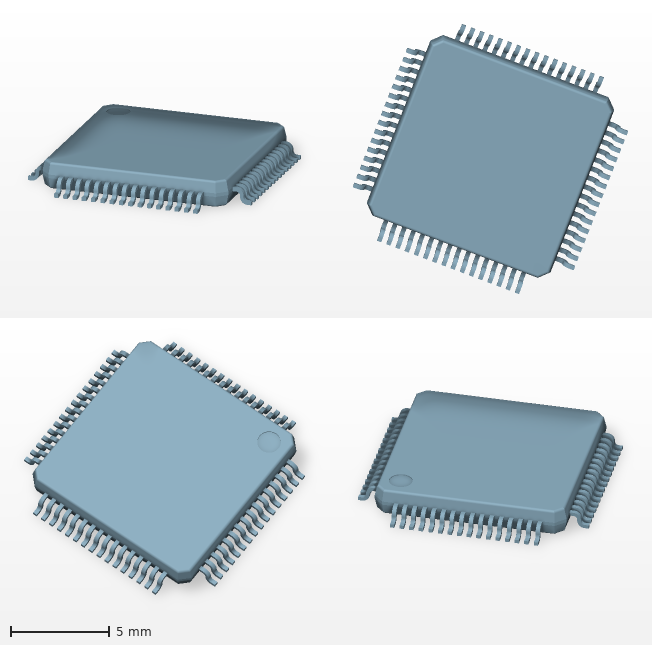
import cadquery as cq
import math

BODY_SIZE = 10.0
BODY_HEIGHT = 1.4
STANDOFF = 0.05
CORNER_CHAMFER = 0.5
DRAFT_ANGLE = 12.0
EDGE_RADIUS = 0.14

LEAD_SPAN = 12.02
LEADS_PER_SIDE = 16
LEAD_PITCH = 0.5
LEAD_WIDTH = 0.22
LEAD_THICKNESS = 0.19
LEAD_TOP = 0.84
FOOT_LENGTH = 0.21
BEND_INNER_RADIUS = 0.2
LEAD_EMBED = 0.3

MARK_DIAMETER = 1.2
MARK_OFFSET = 3.8
MARK_DEPTH = 0.05

BODY_TOP = STANDOFF + BODY_HEIGHT
BAND_TOP = LEAD_TOP
BAND_BOTTOM = LEAD_TOP - LEAD_THICKNESS
BEND_OUTER_RADIUS = BEND_INNER_RADIUS + LEAD_THICKNESS


def octagon_points():
    """Corner points of the square body outline with its four corners cut off."""
    half = BODY_SIZE / 2
    cut = half - CORNER_CHAMFER
    return [
        (half, -cut), (half, cut), (cut, half), (-cut, half),
        (-half, cut), (-half, -cut), (-cut, -half), (cut, -half),
    ]


def body_layer(start, end, draft=0.0):
    """Prism of the body outline between two heights, narrowing by the draft angle."""
    outline = cq.Workplane("XY", origin=(0, 0, start)).polyline(octagon_points()).close()
    return outline.extrude(end - start, taper=draft)


def make_body():
    """Moulded body: a vertical band with drafted, rounded halves above and below."""
    upper = body_layer(BAND_TOP, BODY_TOP, DRAFT_ANGLE)
    upper = upper.faces(">Z").edges().fillet(EDGE_RADIUS)
    lower = body_layer(BAND_BOTTOM, STANDOFF, DRAFT_ANGLE)
    lower = lower.faces("<Z").edges().fillet(EDGE_RADIUS)
    return body_layer(BAND_BOTTOM, BAND_TOP).union(upper).union(lower)


def make_lead():
    """Gull-wing lead on the +X side, centred on Y = 0."""
    tip = LEAD_SPAN / 2
    outer_wall = tip - FOOT_LENGTH - BEND_INNER_RADIUS
    inner_wall = outer_wall - LEAD_THICKNESS
    shoulder = outer_wall - BEND_OUTER_RADIUS
    foot_heel = tip - FOOT_LENGTH
    root = BODY_SIZE / 2 - LEAD_EMBED
    foot_bend_z = BEND_OUTER_RADIUS
    shoulder_bend_z = LEAD_TOP - BEND_OUTER_RADIUS
    diagonal = math.sqrt(0.5)
    inner_mid = BEND_INNER_RADIUS * diagonal
    outer_mid = BEND_OUTER_RADIUS * diagonal
    profile = (
        cq.Workplane("XZ")
        .moveTo(root, LEAD_TOP)
        .lineTo(shoulder, LEAD_TOP)
        .threePointArc((shoulder + outer_mid, shoulder_bend_z + outer_mid), (outer_wall, shoulder_bend_z))
        .lineTo(outer_wall, foot_bend_z)
        .threePointArc((foot_heel - inner_mid, foot_bend_z - inner_mid), (foot_heel, LEAD_THICKNESS))
        .lineTo(tip, LEAD_THICKNESS)
        .lineTo(tip, 0)
        .lineTo(foot_heel, 0)
        .threePointArc((foot_heel - outer_mid, foot_bend_z - outer_mid), (inner_wall, foot_bend_z))
        .lineTo(inner_wall, shoulder_bend_z)
        .threePointArc((shoulder + inner_mid, shoulder_bend_z + inner_mid), (shoulder, BAND_BOTTOM))
        .lineTo(root, BAND_BOTTOM)
        .close()
    )
    return profile.extrude(LEAD_WIDTH / 2, both=True)


def make_leads():
    """Evenly pitched leads on all four sides."""
    lead = make_lead()
    first = -LEAD_PITCH * (LEADS_PER_SIDE - 1) / 2
    leads = []
    for side in range(4):
        for index in range(LEADS_PER_SIDE):
            placed = lead.translate((0, first + index * LEAD_PITCH, 0))
            leads.append(placed.rotate((0, 0, 0), (0, 0, 1), 90 * side).val())
    return leads


def make_pin_mark():
    """Shallow round recess in the top face beside the -X, +Y corner."""
    floor = cq.Workplane("XY", origin=(-MARK_OFFSET, MARK_OFFSET, BODY_TOP - MARK_DEPTH))
    return floor.circle(MARK_DIAMETER / 2).extrude(MARK_DEPTH)


body = make_body().cut(make_pin_mark())
result = cq.Workplane(obj=body.val().fuse(*make_leads()))